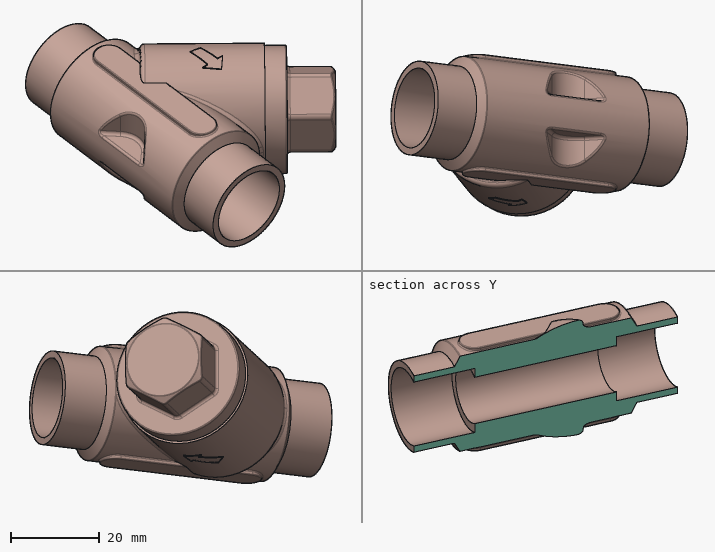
import cadquery as cq
import math

TOTAL_LENGTH = 65.0
TUBE_DIAMETER = 21.3
TUBE_LENGTH = 10.0
SOCKET_DIAMETER = 18.1
SOCKET_DEPTH = 15.0
BORE_DIAMETER = 14.0
BODY_DIAMETER = 26.0
SHOULDER_ANGLE = 30.0
SHOULDER_ROUND = 0.2

BRANCH_ANGLE = 50.0
BRANCH_ORIGIN_X = -11.4
BRANCH_DIAMETER = 30.0
BRANCH_START = 4.1
BRANCH_END = 32.1
CAP_DIAMETER = 29.0
CAP_THICKNESS = 5.0
CAP_ROUND = 0.3
BRANCH_FOOT_ROUND = 1.0
BRANCH_BODY_FILLET = 1.0

HEX_ACROSS_FLATS = 18.0
HEX_HEIGHT = 11.0
HEX_CORNER_ROUND = 1.3
HEX_CHAMFER_ANGLE = 30.0
HEX_TOP_DIAMETER = 17.0
HEX_TOP_ROUND = 0.3
HEX_BASE_FILLET = 0.7

PAD_LENGTH = 39.0
PAD_WIDTH = 7.0
PAD_LEVEL = 13.5
PAD_ROUND = 0.2
PAD_FOOT_FILLET = 0.28

ARROW_RELIEF = 0.2
ARROW_TAIL_X = -3.6
ARROW_LENGTH = 9.1
ARROW_HEAD_LENGTH = 3.1
ARROW_HEAD_WIDTH = 6.0
ARROW_SHAFT_WIDTH = 3.0
ARROW_CENTER_Y = 15.0

RECESS_X = 2.5
RECESS_FLOOR = 4.0
RECESS_NOSE_Y = -7.0
RECESS_NOSE_RADIUS = 6.0
RECESS_FLANK_ANGLE = 45.0
RECESS_FLOOR_FILLET = 0.8
RECESS_RIM_ROUND = 0.6

BODY_RADIUS = BODY_DIAMETER / 2
HEX_ACROSS_CORNERS = HEX_ACROSS_FLATS / math.cos(math.pi / 6)
TOLERANCE = 0.001


def branch_plane(distance):
    """Plane square to the branch axis, with its local X along global Z."""
    angle = math.radians(BRANCH_ANGLE)
    direction = (math.cos(angle), math.sin(angle), 0)
    origin = (
        BRANCH_ORIGIN_X + distance * direction[0],
        distance * direction[1],
        0,
    )
    return cq.Plane(origin=origin, xDir=(0, 0, 1), normal=direction)


def mirrored_pair(shape):
    """The shape together with its mirror image below the XY plane."""
    return shape, shape.mirror("XY")


def make_run():
    """Outer skin of the tube ends and the thick body, without its bore."""
    half_length = TOTAL_LENGTH / 2
    shoulder_x = half_length - TUBE_LENGTH
    tube_radius = TUBE_DIAMETER / 2
    shoulder_length = (BODY_RADIUS - tube_radius) * math.tan(math.radians(SHOULDER_ANGLE))
    body_x = shoulder_x - shoulder_length
    profile = (
        cq.Workplane("XY")
        .moveTo(-half_length, 0)
        .lineTo(-half_length, tube_radius)
        .lineTo(-shoulder_x, tube_radius)
        .lineTo(-body_x, BODY_RADIUS)
        .lineTo(body_x, BODY_RADIUS)
        .lineTo(shoulder_x, tube_radius)
        .lineTo(half_length, tube_radius)
        .lineTo(half_length, 0)
        .close()
    )
    run = profile.revolve(360, (0, 0, 0), (1, 0, 0))
    rim = cq.selectors.RadiusNthSelector(-1)
    return run.edges("%CIRCLE").edges(rim).fillet(SHOULDER_ROUND)


def make_branch():
    """Branch barrel with its rounded foot."""
    barrel = cq.Workplane(branch_plane(BRANCH_START)).circle(BRANCH_DIAMETER / 2)
    barrel = barrel.extrude(BRANCH_END - BRANCH_START)
    foot = cq.selectors.NearestToPointSelector(branch_plane(BRANCH_START).origin.toTuple())
    return barrel.faces(foot).edges().fillet(BRANCH_FOOT_ROUND)


def join_branch(run, branch):
    """Join the branch to the run and fillet the curve where they meet."""
    joined = run.union(branch)

    def is_seam(edge):
        """Edges of the junction curve, leaving out the recess rims on the other side."""
        middle = edge.positionAt(0.5)
        return edge.geomType() in ("ELLIPSE", "BSPLINE") and middle.y > RECESS_NOSE_Y / 2

    return joined.edges().filter(is_seam).fillet(BRANCH_BODY_FILLET)


def make_hexagon():
    """Hexagon with rounded corners and a conical chamfer at its free end."""
    base = branch_plane(BRANCH_END + CAP_THICKNESS)
    axis = cq.selectors.ParallelDirSelector(base.zDir)
    prism = cq.Workplane(base).polygon(6, HEX_ACROSS_CORNERS).extrude(HEX_HEIGHT)
    prism = prism.edges(axis).fillet(HEX_CORNER_ROUND)

    top_radius = HEX_TOP_DIAMETER / 2
    base_radius = top_radius + HEX_HEIGHT / math.tan(math.radians(HEX_CHAMFER_ANGLE))
    cone = cq.Solid.makeCone(base_radius, top_radius, HEX_HEIGHT, base.origin, base.zDir)
    hexagon = prism.intersect(cq.Workplane(cone))
    chamfer_edges = hexagon.faces("%CONE").edges()
    return chamfer_edges.fillet(HEX_TOP_ROUND)


def make_cap():
    """Round cap carrying the hexagon that turns it."""
    base = branch_plane(BRANCH_END)
    top = branch_plane(BRANCH_END + CAP_THICKNESS)
    disc = cq.Workplane(base).circle(CAP_DIAMETER / 2).extrude(CAP_THICKNESS)
    top_face = cq.selectors.DirectionMinMaxSelector(top.zDir)
    disc = disc.faces(top_face).edges().fillet(CAP_ROUND)
    cap = disc.union(make_hexagon())

    def is_hexagon_foot(edge):
        """Edges of the hexagon lying in the top face of the disc."""
        start, middle = (top.toLocalCoords(edge.positionAt(t)) for t in (0, 0.5))
        lies_on_top = max(abs(start.z), abs(middle.z)) < TOLERANCE
        return lies_on_top and math.hypot(middle.x, middle.y) < HEX_ACROSS_CORNERS / 2 + TOLERANCE

    return cap.edges().filter(is_hexagon_foot).fillet(HEX_BASE_FILLET)


def lies_on_body(edge):
    """Whether an edge runs on the cylindrical skin of the body."""
    middle = edge.positionAt(0.5)
    return abs(math.hypot(middle.y, middle.z) - BODY_RADIUS) < TOLERANCE


def add_pads(run):
    """Add both label pads, filleted onto the body along their feet."""
    pad = cq.Workplane("XY").slot2D(PAD_LENGTH, PAD_WIDTH).extrude(PAD_LEVEL)
    pad = pad.faces(">Z").edges().fillet(PAD_ROUND)
    for half in mirrored_pair(pad):
        run = run.union(half)

    def is_pad_foot(edge):
        """Edges where the pad walls meet the body."""
        middle = edge.positionAt(0.5)
        within_pad = abs(middle.y) < PAD_WIDTH and abs(middle.x) < PAD_LENGTH / 2 + TOLERANCE
        return lies_on_body(edge) and within_pad and abs(middle.z) > BODY_RADIUS / 2

    return run.edges().filter(is_pad_foot).fillet(PAD_FOOT_FILLET)


def make_arrow():
    """Flow arrow pointing to +X, standing out evenly from the round barrel."""
    neck_x = ARROW_LENGTH - ARROW_HEAD_LENGTH
    shaft = ARROW_SHAFT_WIDTH / 2
    head = ARROW_HEAD_WIDTH / 2
    outline = [
        (0, -shaft),
        (neck_x, -shaft),
        (neck_x, -head),
        (ARROW_LENGTH, 0),
        (neck_x, head),
        (neck_x, shaft),
        (0, shaft),
    ]
    arrow = cq.Workplane("XY", origin=(ARROW_TAIL_X, ARROW_CENTER_Y, 0)).polyline(outline).close()
    arrow_radius = BRANCH_DIAMETER / 2 + ARROW_RELIEF
    arrow = arrow.extrude(arrow_radius)
    skin = cq.Workplane(branch_plane(BRANCH_START)).circle(arrow_radius)
    return arrow.intersect(skin.extrude(BRANCH_END - BRANCH_START))


def make_recess_tool():
    """Wedge with a round nose that clears one recess."""
    flank = math.radians(RECESS_FLANK_ANGLE)
    center_y = RECESS_NOSE_Y - RECESS_NOSE_RADIUS
    tangent_x = RECESS_NOSE_RADIUS * math.sin(flank)
    tangent_y = center_y + RECESS_NOSE_RADIUS * math.cos(flank)
    outer_y = -2 * BODY_RADIUS
    outer_x = tangent_x + (tangent_y - outer_y) / math.tan(flank)
    tool = (
        cq.Workplane("XY", origin=(RECESS_X, 0, RECESS_FLOOR))
        .moveTo(-outer_x, outer_y)
        .lineTo(-tangent_x, tangent_y)
        .threePointArc((0, RECESS_NOSE_Y), (tangent_x, tangent_y))
        .lineTo(outer_x, outer_y)
        .close()
        .extrude(BODY_RADIUS)
    )
    return tool.faces("<Z").edges("not <Y").fillet(RECESS_FLOOR_FILLET)


def cut_recesses(run):
    """Cut the pair of recesses and round their rims."""
    for tool in mirrored_pair(make_recess_tool()):
        run = run.cut(tool)

    def is_rim(edge):
        """Edges where the recess walls and floor meet the body."""
        middle = edge.positionAt(0.5)
        near_recess = abs(middle.x - RECESS_X) < BODY_RADIUS and middle.y < RECESS_NOSE_Y / 2
        return lies_on_body(edge) and near_recess

    return run.edges().filter(is_rim).fillet(RECESS_RIM_ROUND)


def cut_bore(body):
    """Through bore with a wider socket at each end."""
    half_length = TOTAL_LENGTH / 2
    start = cq.Workplane("YZ", origin=(-half_length, 0, 0))
    body = body.cut(start.circle(BORE_DIAMETER / 2).extrude(TOTAL_LENGTH))
    for socket_start in (-half_length, half_length - SOCKET_DEPTH):
        socket = cq.Workplane("YZ", origin=(socket_start, 0, 0)).circle(SOCKET_DIAMETER / 2)
        body = body.cut(socket.extrude(SOCKET_DEPTH))
    return body


run = cut_recesses(make_run())
body = join_branch(run, make_branch())
body = body.union(add_pads(run))
body = body.union(make_cap())
for half in mirrored_pair(make_arrow()):
    body = body.union(half)
result = cut_bore(body)